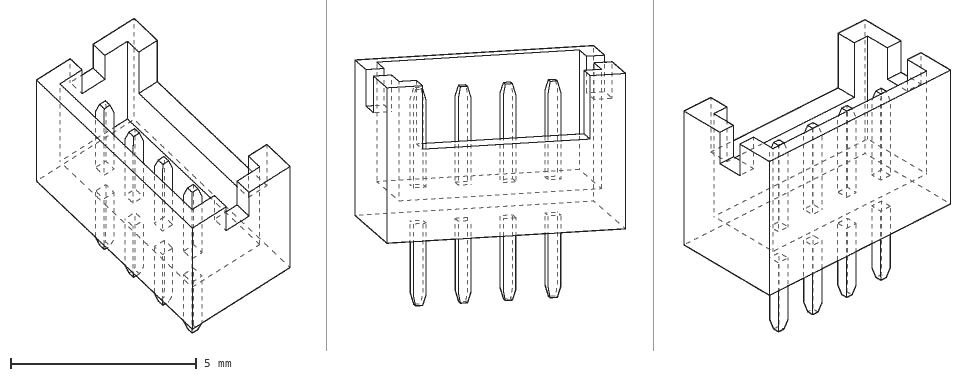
import cadquery as cq

length = 6.65
depth = 3.4
height = 4.3

end_wall = 0.505
front_wall = 0.405
back_wall = 0.645
floor_thickness = 1.0

back_notch_length = 4.67
back_notch_depth = 1.755
side_slot_width = 0.79
side_slot_depth = 1.01
side_slot_front = 1.18

pin_count = 4
pin_pitch = 1.25
pin_width = 0.35
pin_tip_width = 0.2
pin_taper = 0.305
pin_y = 1.2
pin_below = 6.6 - height
pin_top_gap = 0.605


def box(size_x, size_y, size_z, y_min, z_min):
    """Box centred on X, starting at the given Y and Z."""
    return (
        cq.Workplane("XY")
        .box(size_x, size_y, size_z, centered=(True, False, False))
        .translate((0, y_min, z_min))
    )


def make_housing():
    cavity_depth = depth - front_wall - back_wall
    cavity = box(
        length - 2 * end_wall, cavity_depth, height - floor_thickness, front_wall, floor_thickness
    )
    back_notch = box(
        back_notch_length, back_wall, back_notch_depth, depth - back_wall, height - back_notch_depth
    )
    side_slots = box(
        length, side_slot_width, side_slot_depth, side_slot_front, height - side_slot_depth
    )
    body = box(length, depth, height, 0, 0)
    return body.cut(cavity).cut(back_notch).cut(side_slots)


def make_pin(x):
    shaft_bottom = pin_taper - pin_below
    shaft_top = height - pin_top_gap - pin_taper
    shaft = box(pin_width, pin_width, shaft_top - shaft_bottom, -pin_width / 2, shaft_bottom)
    pin = shaft
    for face in (">Z", "<Z"):
        tip = (
            shaft.faces(face)
            .workplane(centerOption="CenterOfMass")
            .rect(pin_width, pin_width)
            .workplane(offset=pin_taper)
            .rect(pin_tip_width, pin_tip_width)
            .loft(combine=False)
        )
        pin = pin.union(tip)
    return pin.translate((x, pin_y, 0))


result = make_housing()
for index in range(pin_count):
    pin_x = (index - (pin_count - 1) / 2) * pin_pitch
    result = result.union(make_pin(pin_x))